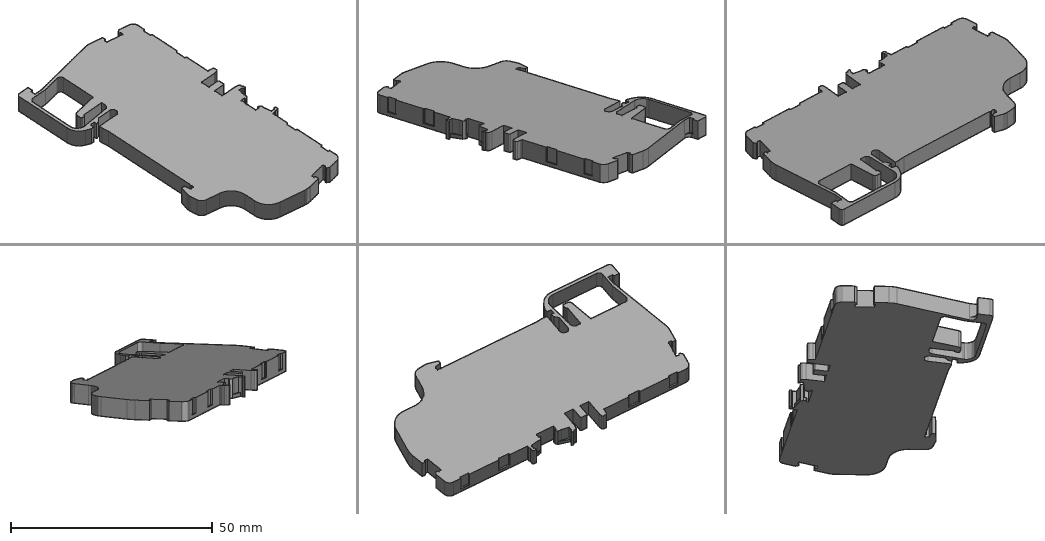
import cadquery as cq
import math

LENGTH = 76.4
THICKNESS = 5.0
LEDGE = 1.0
OVERCUT = 0.8

TOP_Y = 39.6
WAIST_Y = 25.6
FLANK_SLOPE = math.tan(math.radians(10))
WAIST_RADIUS = 5.95
TOP_CORNER_RADIUS = 1.75
RAIL_Y = 6.3

WAIST_OVERHANG = WAIST_RADIUS * (math.hypot(1, FLANK_SLOPE) - 1)


def flank_x(y):
    """X of the straight left flank at height y."""
    return FLANK_SLOPE * abs(y - WAIST_Y) - WAIST_OVERHANG


def mirrored(points, center_x):
    """The same outline points reflected about the line x = center_x."""
    return [(2 * center_x - x, y, *radius) for x, y, *radius in points]


def toward(start, end, distance):
    """Point at the given distance from start on the way to end."""
    share = distance / math.dist(start, end)
    return (start[0] + share * (end[0] - start[0]), start[1] + share * (end[1] - start[1]))


def corner_arc(before, corner, after, radius):
    """Start, middle and end of the tangent arc that rounds a corner."""
    angle_in = math.atan2(before[1] - corner[1], before[0] - corner[0])
    angle_out = math.atan2(after[1] - corner[1], after[0] - corner[0])
    half_angle = abs(math.remainder(angle_out - angle_in, math.tau)) / 2
    start = toward(corner, before, radius / math.tan(half_angle))
    end = toward(corner, after, radius / math.tan(half_angle))
    chord_middle = ((start[0] + end[0]) / 2, (start[1] + end[1]) / 2)
    middle = toward(corner, chord_middle, radius / math.sin(half_angle) - radius)
    return start, middle, end


def prism(points, bottom=0.0):
    """Extrude a closed outline from bottom to the upper face.

    Each point is (x, y), or (x, y, radius) for a rounded corner; the first one is sharp.
    """
    outline = cq.Workplane("XY").workplane(offset=bottom).moveTo(*points[0][:2])
    for index in range(1, len(points)):
        corner = points[index][:2]
        radius = points[index][2:]
        if radius:
            before = points[index - 1][:2]
            after = points[(index + 1) % len(points)][:2]
            start, middle, end = corner_arc(before, corner, after, radius[0])
            outline = outline.lineTo(*start).threePointArc(middle, end)
        else:
            outline = outline.lineTo(*corner)
    return outline.close().extrude(THICKNESS - bottom)


FOOT_LEFT = 0.45
SHELF_Y = 4.0
STRUT_LEFT = 3.4
STRUT_TOP_Y = WAIST_Y - (STRUT_LEFT + WAIST_OVERHANG) / FLANK_SLOPE
SHOULDER_Y = 13.15
SLOT_LEFT = 20.9
SLOT_WIDTH = 2.3
SLOT_END_RADIUS = 1.1
SLOT_RIGHT = SLOT_LEFT + SLOT_WIDTH
SLOT_TOP_Y = 13.15
PAD_BOTTOM_Y = 6.0

foot_outer = [
    (FOOT_LEFT, SHELF_Y),
    (FOOT_LEFT, 0, 0.9),
    (20.7, 0, 4.2),
    (22.45, 4.05),
    (22.4, 4.9),
    (21.25, 4.9, 0.3),
    (21.25, 6.2),
    (22.1, 6.2),
    (21.85, 7.2),
    (SLOT_LEFT, 8.1),
]
slot_and_rail_edge = [
    (SLOT_LEFT, SLOT_TOP_Y, SLOT_END_RADIUS),
    (SLOT_RIGHT, SLOT_TOP_Y, SLOT_END_RADIUS),
    (SLOT_RIGHT, PAD_BOTTOM_Y),
    (24.15, PAD_BOTTOM_Y),
    (26.2, RAIL_Y),
    (54.5, RAIL_Y),
    (54.6, PAD_BOTTOM_Y),
    (54.9, RAIL_Y),
]
rail_hook = [
    (55.7, RAIL_Y),
    (55.7, 5.1, 0.2),
    (53.9, 4.8),
    (53.9, 3.9),
    (56.7, 3.1, 2.3),
    (57.5, 3.1),
    (61.05, 3.6, 2.0),
]
right_and_top = [
    (62.7, SHOULDER_Y, 5.0),
    (LENGTH - flank_x(SHOULDER_Y), SHOULDER_Y, 4.9),
    (LENGTH + WAIST_OVERHANG, WAIST_Y, WAIST_RADIUS),
    (LENGTH - flank_x(TOP_Y), TOP_Y, TOP_CORNER_RADIUS),
    (flank_x(TOP_Y), TOP_Y, TOP_CORNER_RADIUS),
    (-WAIST_OVERHANG, WAIST_Y, WAIST_RADIUS),
    (STRUT_LEFT, STRUT_TOP_Y),
    (STRUT_LEFT, SHELF_Y),
]
plate = prism(foot_outer + slot_and_rail_edge + rail_hook + right_and_top)

WINDOW_TOP_Y = 12.7
WINDOW_BOTTOM_Y = 0.9
TONGUE_RIGHT = 17.5
TONGUE_TIP_Y = 5.05
window = [
    (TONGUE_RIGHT, WINDOW_TOP_Y),
    (19.7, WINDOW_TOP_Y, 1.15),
    (20.55, 3.7),
    (20.55, WINDOW_BOTTOM_Y, 2.45),
    (4.1, WINDOW_BOTTOM_Y, 1.1),
    (4.1, 6.5),
    (3.05, WINDOW_TOP_Y, 1.1),
    (14.5, WINDOW_TOP_Y),
    (15.75, TONGUE_TIP_Y, 0.9),
    (17.95, TONGUE_TIP_Y, 0.4),
    (17.95, 6.2),
    (TONGUE_RIGHT, 6.5),
]
plate = plate.cut(prism(window))

GROOVE_WIDTH = 1.4
GROOVE_DEPTH = 0.5
FILLET_RADIUS = 1.2
groove = [
    (STRUT_LEFT - GROOVE_WIDTH, SHELF_Y + OVERCUT),
    (STRUT_LEFT - GROOVE_WIDTH, SHELF_Y - GROOVE_DEPTH),
    (STRUT_LEFT, SHELF_Y - GROOVE_DEPTH),
    (STRUT_LEFT, SHELF_Y + OVERCUT),
]
plate = plate.cut(prism(groove, LEDGE))
fillet_round = (
    cq.Workplane("XY")
    .center(STRUT_LEFT - FILLET_RADIUS, SHELF_Y + FILLET_RADIUS)
    .circle(FILLET_RADIUS)
    .extrude(LEDGE)
)
corner_fill = (
    cq.Workplane("XY")
    .center(STRUT_LEFT - FILLET_RADIUS / 2, SHELF_Y + FILLET_RADIUS / 2)
    .rect(FILLET_RADIUS, FILLET_RADIUS)
    .extrude(LEDGE)
    .cut(fillet_round)
)
plate = plate.union(corner_fill)

NOTCH_BOTTOM_Y = 29.7
NOTCH_TOP_Y = 34.5
NOTCH_DEPTH = 2.0
notch = [
    (-OVERCUT, 30.2),
    (1.75, 30.2),
    (1.75, NOTCH_BOTTOM_Y),
    (flank_x(NOTCH_BOTTOM_Y) + NOTCH_DEPTH, NOTCH_BOTTOM_Y),
    (flank_x(NOTCH_TOP_Y) + NOTCH_DEPTH, NOTCH_TOP_Y),
    (2.75, 34.7),
    (2.45, 34.3),
    (2.1, 34.3),
    (flank_x(35.1), 35.1),
    (-OVERCUT, 35.1),
]
plate = plate.cut(prism(notch)).cut(prism(mirrored(notch, LENGTH / 2)))

RECESS_DEPTH = 0.45


def edge_recess(left, right, bevel):
    """Cutter for a recess in the top edge that leaves the low ledge standing."""
    floor_y = TOP_Y - RECESS_DEPTH
    return [
        (left, TOP_Y + OVERCUT),
        (left, TOP_Y - bevel),
        (left + bevel, floor_y),
        (right - bevel, floor_y),
        (right, TOP_Y - bevel),
        (right, TOP_Y + OVERCUT),
    ]


for recess in (edge_recess(6.1, 8.6, 0), edge_recess(17.35, 20.6, 0.2)):
    plate = plate.cut(prism(recess, LEDGE)).cut(prism(mirrored(recess, LENGTH / 2), LEDGE))

POST_TOP_Y = 41.4
SLOTS_LEFT = 29.9
SLOTS_RIGHT = 37.05
SLOTS_FLOOR_Y = 35.45
PIN_LEFT = 32.5
PIN_RIGHT = 34.45
PIN_TOP_Y = 38.9
POST_WAIST_Y = 40.1
slots = [
    (SLOTS_LEFT, SLOTS_FLOOR_Y),
    (PIN_LEFT, SLOTS_FLOOR_Y),
    (PIN_LEFT, PIN_TOP_Y, 0.3),
    (PIN_RIGHT, PIN_TOP_Y, 0.3),
    (PIN_RIGHT, SLOTS_FLOOR_Y),
    (SLOTS_RIGHT, SLOTS_FLOOR_Y),
    (SLOTS_RIGHT, TOP_Y + OVERCUT),
    (SLOTS_LEFT, TOP_Y + OVERCUT),
]
left_post = [
    (28.1, TOP_Y - OVERCUT),
    (28.1, POST_WAIST_Y),
    (28.35, POST_TOP_Y, 0.4),
    (29.7, POST_TOP_Y, 0.4),
    (SLOTS_LEFT, POST_WAIST_Y),
    (SLOTS_LEFT, TOP_Y - OVERCUT),
]
plate = plate.cut(prism(slots)).union(prism(left_post))

HOOK_TOP_Y = 41.7
CLIP_CENTER = 44.15
HOOK_INNER = 38.6
HOOK_TIP = 39.0
RAMP_TOP_Y = 40.5
UPPER_RAMP_TOP_Y = 39.95
SEAT_LEFT = 41.6
SEAT_FLOOR_Y = 37.5
NUB_LEFT = 42.1
NUB_TOP_Y = 38.9
NUB_RELIEF_Y = 38.65

hook_tip = [
    (HOOK_INNER, 40.95),
    (HOOK_TIP, 41.3),
    (HOOK_TIP, HOOK_TOP_Y),
    (38.35, HOOK_TOP_Y),
    (38.1, POST_TOP_Y),
]
left_hook = [
    (HOOK_INNER, TOP_Y - OVERCUT),
    *hook_tip,
    (37.3, POST_TOP_Y, 0.4),
    (SLOTS_RIGHT, POST_WAIST_Y),
    (SLOTS_RIGHT, TOP_Y - OVERCUT),
]
right_hook_outer = [
    (50.4, HOOK_TOP_Y, 0.3),
    (50.4, 40.65),
    (50.65, POST_WAIST_Y),
    (50.65, TOP_Y - OVERCUT),
]
right_hook = [
    (2 * CLIP_CENTER - HOOK_INNER, TOP_Y - OVERCUT),
    *mirrored(hook_tip[:3], CLIP_CENTER),
    *right_hook_outer,
]
seat_half = [
    (CLIP_CENTER, SEAT_FLOOR_Y),
    (SEAT_LEFT, SEAT_FLOOR_Y),
    (SEAT_LEFT, 37.9),
    (NUB_LEFT, 38.2),
    (NUB_LEFT, NUB_TOP_Y),
    (SEAT_LEFT, TOP_Y),
    (CLIP_CENTER, TOP_Y),
]
nub_relief = [
    (SEAT_LEFT, SEAT_FLOOR_Y),
    (SEAT_LEFT, NUB_RELIEF_Y),
    (NUB_LEFT, NUB_RELIEF_Y),
    (NUB_LEFT, SEAT_FLOOR_Y),
]
low_ramp = [
    (HOOK_INNER, TOP_Y - OVERCUT),
    (HOOK_INNER, RAMP_TOP_Y),
    (SEAT_LEFT, TOP_Y),
    (SEAT_LEFT - OVERCUT, TOP_Y - OVERCUT),
]
low_ramp_cut = [
    (HOOK_INNER, UPPER_RAMP_TOP_Y),
    (HOOK_INNER, RAMP_TOP_Y + OVERCUT),
    (SEAT_LEFT, TOP_Y + OVERCUT),
    (SEAT_LEFT, TOP_Y),
    (40.6, TOP_Y),
]


def both_sides(points, bottom=0.0):
    """A clip feature together with its mirror image."""
    return prism(points, bottom).union(prism(mirrored(points, CLIP_CENTER), bottom))


plate = plate.cut(both_sides(seat_half)).cut(both_sides(nub_relief, LEDGE))
plate = plate.union(both_sides(low_ramp)).cut(both_sides(low_ramp_cut, LEDGE))
plate = plate.union(prism(left_hook)).union(prism(right_hook))

result = plate